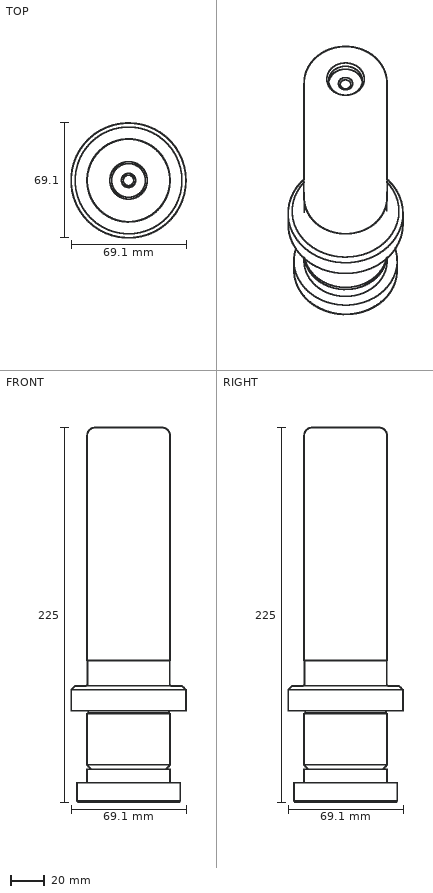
import cadquery as cq

TOTAL_HEIGHT = 225.0
BASE_THICKNESS = 12.0
COLLAR_TOP = 20.0
TAPER_HEIGHT = 2.5
FLANGE_BOTTOM = 55.0
FLANGE_THICKNESS = 15.0
RELIEF_LENGTH = 15.0

PIN_RADIUS = 25.0
FLANGE_RADIUS = 34.54
FLANGE_CHAMFER = 2.5
BASE_RADIUS = 31.0
BASE_CHAMFER = 1.0
TAPER_INSET = 2.2
RELIEF_DEPTH = 0.2
NECK_DEPTH = 0.7
NECK_WIDTH = 1.1
ROOT_FILLET = 1.0
TOP_ROUND = 5.0

RECESS_RADIUS = 10.1
RECESS_DEPTH = 5.5
RECESS_CHAMFER_WIDTH = 1.1
RECESS_CHAMFER_DEPTH = 2.0
CENTRE_HOLE_RADIUS = 3.2
CENTRE_HOLE_DEPTH = 11.2
CENTRE_CHAMFER_WIDTH = 1.1
CENTRE_CHAMFER_DEPTH = 1.0
DRILL_POINT_DEPTH = 1.8

FLANGE_TOP = FLANGE_BOTTOM + FLANGE_THICKNESS
RELIEF_TOP = FLANGE_TOP + RELIEF_LENGTH


def make_base():
    """Round foot with a short collar that carries the pin."""
    foot = cq.Workplane("XY").circle(BASE_RADIUS).extrude(BASE_THICKNESS)
    foot = foot.faces("<Z").chamfer(BASE_CHAMFER)
    collar = cq.Workplane("XY").circle(PIN_RADIUS).extrude(COLLAR_TOP)
    return foot.union(collar)


def make_pin_blank():
    """Flanged pin with a tapered lower end, a neck below the flange and a relief above it."""
    taper_top = COLLAR_TOP + TAPER_HEIGHT
    relief_radius = PIN_RADIUS - RELIEF_DEPTH
    neck_radius = PIN_RADIUS - NECK_DEPTH
    neck_bottom = FLANGE_BOTTOM - NECK_WIDTH
    blank = (
        cq.Workplane("XZ")
        .moveTo(0, COLLAR_TOP)
        .lineTo(PIN_RADIUS - TAPER_INSET, COLLAR_TOP)
        .lineTo(PIN_RADIUS, taper_top)
        .lineTo(PIN_RADIUS, neck_bottom - NECK_DEPTH)
        .lineTo(neck_radius, neck_bottom)
        .lineTo(neck_radius, FLANGE_BOTTOM)
        .lineTo(FLANGE_RADIUS, FLANGE_BOTTOM)
        .lineTo(FLANGE_RADIUS, FLANGE_TOP - FLANGE_CHAMFER)
        .lineTo(FLANGE_RADIUS - FLANGE_CHAMFER, FLANGE_TOP)
        .lineTo(relief_radius + ROOT_FILLET, FLANGE_TOP)
        .radiusArc((relief_radius, FLANGE_TOP + ROOT_FILLET), ROOT_FILLET)
        .lineTo(relief_radius, RELIEF_TOP)
        .lineTo(PIN_RADIUS, RELIEF_TOP + RELIEF_DEPTH)
        .lineTo(PIN_RADIUS, TOTAL_HEIGHT)
        .lineTo(0, TOTAL_HEIGHT)
        .close()
        .revolve(360, (0, 0, 0), (0, 1, 0))
    )
    return blank.faces(">Z").edges().fillet(TOP_ROUND)


def make_centre_hole():
    """Cutter for the chamfered recess and the drilled centre below it."""
    recess_floor = TOTAL_HEIGHT - RECESS_DEPTH
    drill_bottom = recess_floor - CENTRE_HOLE_DEPTH
    return (
        cq.Workplane("XZ")
        .moveTo(0, TOTAL_HEIGHT)
        .lineTo(RECESS_RADIUS + RECESS_CHAMFER_WIDTH, TOTAL_HEIGHT)
        .lineTo(RECESS_RADIUS, TOTAL_HEIGHT - RECESS_CHAMFER_DEPTH)
        .lineTo(RECESS_RADIUS, recess_floor)
        .lineTo(CENTRE_HOLE_RADIUS + CENTRE_CHAMFER_WIDTH, recess_floor)
        .lineTo(CENTRE_HOLE_RADIUS, recess_floor - CENTRE_CHAMFER_DEPTH)
        .lineTo(CENTRE_HOLE_RADIUS, drill_bottom)
        .lineTo(0, drill_bottom - DRILL_POINT_DEPTH)
        .close()
        .revolve(360, (0, 0, 0), (0, 1, 0))
    )


base = make_base()
pin = make_pin_blank().cut(make_centre_hole())

result = cq.Compound.makeCompound([base.val(), pin.val()])